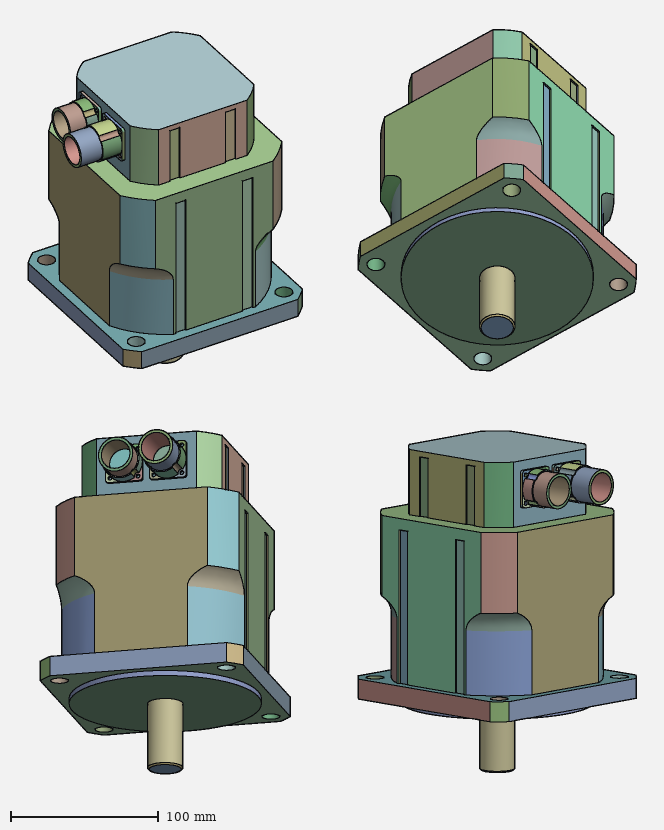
import cadquery as cq
import math


flange_width = 142.0
flange_corner_radius = 94.1
flange_thickness = 13.8
bolt_circle_radius = 82.5
bolt_hole_diameter = 12.0
spigot_diameter = 130.0
spigot_height = 3.5
shaft_diameter = 24.0
shaft_length = 50.0
shaft_chamfer = 1.0

housing_width = 127.9
housing_corner_radius = 79.0
housing_height = 113.5
relief_radius = 71.7
relief_straight_height = 44.2
relief_fillet_height = 13.8

overall_height = 222.0
cover_width = 98.0
cover_corner_radius = 60.2

groove_width = 8.0
groove_depth = 1.0
housing_groove_offset = 26.5
housing_groove_top_gap = 8.0
cover_groove_offset = 22.0
cover_groove_top_gap = 4.0

connector_offset = 15.3
connector_depth_below_top = 19.5
plate_width = 25.8
plate_corner_radius = 2.0
plate_thickness = 2.2
screw_offset = 9.8
screw_hole_diameter = 2.7
screw_clearance_radius = 2.5
collar_diameter = plate_width
barrel_diameter = 24.0
bore_diameter = 20.0
short_collar_end = 11.0
short_length = 24.0
long_collar_end = 17.3
long_length = 34.0

housing_top = flange_thickness + housing_height
cover_top = overall_height - shaft_length
cover_height = cover_top - housing_top
connector_face_y = -cover_width / 2
connector_z = cover_top - connector_depth_below_top


def rounded_prism(width, corner_radius, bottom, height):
    """Square prism whose corners are trimmed by a cylinder about the motor axis."""
    square = cq.Workplane("XY").workplane(offset=bottom).rect(width, width).extrude(height)
    round_limit = cq.Workplane("XY").workplane(offset=bottom).circle(corner_radius).extrude(height)
    return square.intersect(round_limit)


def make_flange():
    flange = rounded_prism(flange_width, flange_corner_radius, 0, flange_thickness)
    bolt_holes = (
        cq.Workplane("XY")
        .polarArray(bolt_circle_radius, 45, 360, 4)
        .circle(bolt_hole_diameter / 2)
        .extrude(flange_thickness)
    )
    spigot = cq.Workplane("XY").circle(spigot_diameter / 2).extrude(-spigot_height)
    shaft = (
        cq.Workplane("XY")
        .circle(shaft_diameter / 2)
        .extrude(-shaft_length)
        .faces("<Z")
        .chamfer(shaft_chamfer)
    )
    return flange.cut(bolt_holes).union(spigot).union(shaft)


def make_corner_relief():
    """Ring that trims the lower housing corners, ending in a concave fillet below the full corners."""
    radial_step = housing_corner_radius - relief_radius
    fillet_radius = (radial_step**2 + relief_fillet_height**2) / (2 * radial_step)
    half_sweep = math.atan2(radial_step, relief_fillet_height)
    fillet_start = flange_thickness + relief_straight_height
    fillet_end = fillet_start + relief_fillet_height
    fillet_middle = (
        relief_radius + fillet_radius * (1 - math.cos(half_sweep)),
        fillet_start + fillet_radius * math.sin(half_sweep),
    )
    outer_radius = housing_width
    return (
        cq.Workplane("XZ")
        .moveTo(relief_radius, flange_thickness)
        .lineTo(relief_radius, fillet_start)
        .threePointArc(fillet_middle, (housing_corner_radius, fillet_end))
        .lineTo(outer_radius, fillet_end)
        .lineTo(outer_radius, flange_thickness)
        .close()
        .revolve(360, (0, 0, 0), (0, 1, 0))
    )


def make_side_grooves(width, offset, bottom, height):
    """Two grooves in each X side of a square section of the given width."""
    centres = [(x, y) for x in (-width / 2, width / 2) for y in (-offset, offset)]
    return (
        cq.Workplane("XY")
        .workplane(offset=bottom)
        .pushPoints(centres)
        .rect(2 * groove_depth, groove_width)
        .extrude(height)
    )


def make_housing():
    housing = rounded_prism(housing_width, housing_corner_radius, flange_thickness, housing_height)
    grooves = make_side_grooves(
        housing_width, housing_groove_offset, flange_thickness, housing_height - housing_groove_top_gap
    )
    return housing.cut(make_corner_relief()).cut(grooves)


def make_cover():
    cover = rounded_prism(cover_width, cover_corner_radius, housing_top, cover_height)
    grooves = make_side_grooves(
        cover_width, cover_groove_offset, housing_top, cover_height - cover_groove_top_gap
    )
    return cover.cut(grooves)


def make_motor():
    return make_flange().union(make_housing()).union(make_cover())


def make_connector(x, collar_end, length):
    """Socket on the cover's -Y face: screwed square plate, scalloped collar and hollow barrel."""
    face = cq.Workplane("XZ", origin=(x, connector_face_y, connector_z))
    plate_front = face.workplane(offset=plate_thickness)

    plate = (
        face.rect(plate_width, plate_width)
        .extrude(plate_thickness)
        .edges("|Y")
        .fillet(plate_corner_radius)
    )
    screw_pitch = 2 * screw_offset
    screw_holes = (
        face.rect(screw_pitch, screw_pitch, forConstruction=True)
        .vertices()
        .circle(screw_hole_diameter / 2)
        .extrude(plate_thickness)
    )
    collar = face.circle(collar_diameter / 2).extrude(collar_end)
    barrel = face.circle(barrel_diameter / 2).extrude(length)
    screw_clearances = (
        plate_front.rect(screw_pitch, screw_pitch, forConstruction=True)
        .vertices()
        .circle(screw_clearance_radius)
        .extrude(collar_end - plate_thickness)
    )
    bore = plate_front.circle(bore_diameter / 2).extrude(length - plate_thickness)
    return plate.union(collar).union(barrel).cut(screw_holes).cut(screw_clearances).cut(bore)


motor = make_motor()
connector_sizes = [
    (-connector_offset, short_collar_end, short_length),
    (connector_offset, long_collar_end, long_length),
]
connectors = [make_connector(*sizes).val() for sizes in connector_sizes]

result = cq.Compound.makeCompound([motor.val(), *connectors])